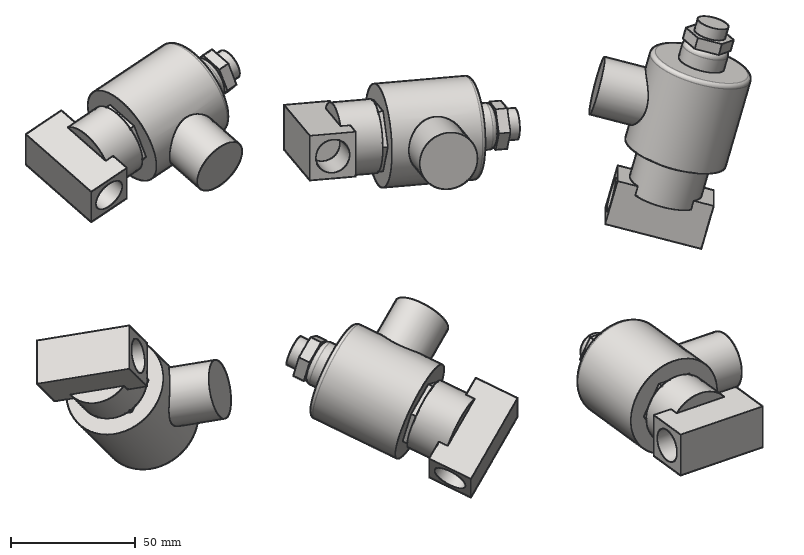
import cadquery as cq
import math


BLOCK_LENGTH = 40.0
BLOCK_SIDE = 19.0
PORT_DIAMETER = 14.0
PORT_DEPTH = 15.0
BARREL_DIAMETER = 30.0
BARREL_START = 15.0
BARREL_END = 31.6
COLLAR_FLATS = 25.4

COIL_START = 33.8
COIL_END = 73.0
COIL_DIAMETER = 42.0
COIL_FILLET = 1.7
CONDUIT_DIAMETER = 24.0
CONDUIT_REACH = 37.8
CONDUIT_Y = 52.8
CAP_DIAMETER = 19.0
CAP_END = 81.1
CAP_FILLET = 2.4
NUT_FLATS = 17.3
NUT_END = 85.9
STUD_DIAMETER = 12.9
STUD_END = 90.85


def section_at(y):
    """Workplane across the main axis at y, facing +Y."""
    return cq.Workplane("XZ", origin=(0, y, 0)).transformed(rotate=(180, 0, 0))


def cylinder(diameter, start, end):
    return section_at(start).circle(diameter / 2).extrude(end - start)


def hexagon(flats, start, end):
    """Hexagonal prism with two corners on the X axis."""
    corner_diameter = flats / math.cos(math.pi / 6)
    return section_at(start).polygon(6, corner_diameter).extrude(end - start)


def make_valve_body():
    block = cq.Workplane("XY").box(BLOCK_LENGTH, BLOCK_SIDE, BLOCK_SIDE)
    body = block.translate((0, BLOCK_SIDE / 2, 0))
    body = body.union(cylinder(BARREL_DIAMETER, BARREL_START, BARREL_END))
    body = body.union(hexagon(COLLAR_FLATS, BARREL_END, COIL_START))

    for side in (-1, 1):
        mouth = cq.Workplane("YZ", origin=(side * BLOCK_LENGTH / 2, BLOCK_SIDE / 2, 0))
        body = body.cut(mouth.circle(PORT_DIAMETER / 2).extrude(-side * PORT_DEPTH))
    return body


def make_coil():
    coil = cylinder(COIL_DIAMETER, COIL_START, COIL_END).faces(">Y").edges().fillet(COIL_FILLET)
    conduit = cq.Workplane("YZ").center(CONDUIT_Y, 0).circle(CONDUIT_DIAMETER / 2).extrude(CONDUIT_REACH)
    cap = cylinder(CAP_DIAMETER, COIL_END, CAP_END).faces(">Y").edges().fillet(CAP_FILLET)
    nut = hexagon(NUT_FLATS, CAP_END, NUT_END)
    stud = cylinder(STUD_DIAMETER, NUT_END, STUD_END)
    return coil.union(conduit).union(cap).union(nut).union(stud)


valve_body = make_valve_body()
coil = make_coil()

result = cq.Compound.makeCompound([valve_body.val(), coil.val()])